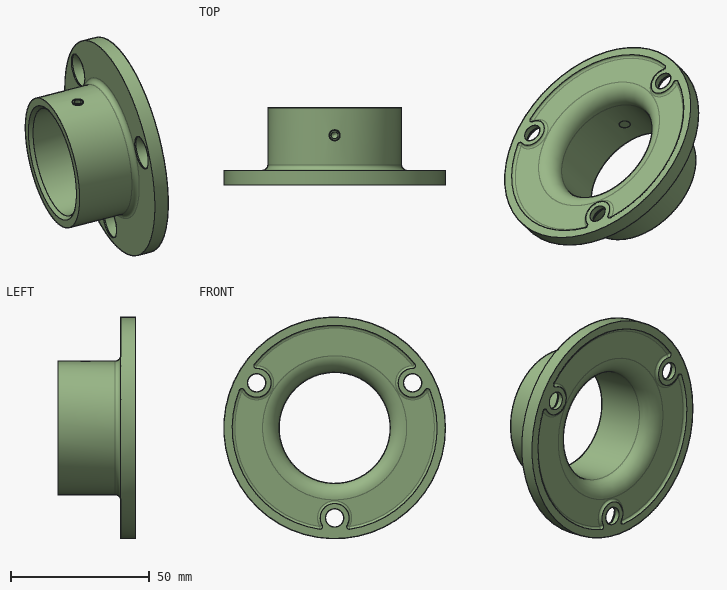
import cadquery as cq
import math


FLANGE_RADIUS = 40.0
FLANGE_THICKNESS = 5.4
TOTAL_LENGTH = 28.0
TUBE_RADIUS = 24.2
TUBE_FILLET = 2.0
BORE_RADIUS = 20.0
BORE_MOUTH_RADIUS = 6.0
BORE_CHAMFER = 1.3

POCKET_DEPTH = 1.0
POCKET_FLOOR_FILLET = POCKET_DEPTH - 0.01
POCKET_RIM_RADIUS = 37.0
POCKET_FLOOR_RADIUS = POCKET_RIM_RADIUS - POCKET_DEPTH

HOLE_COUNT = 3
HOLE_SPACING = 360.0 / HOLE_COUNT
FIRST_HOLE_ANGLE = -90.0
HOLE_CIRCLE_RADIUS = 32.5
HOLE_DIAMETER = 6.5
COUNTERSINK_DIAMETER = 12.0
COUNTERSINK_RIM_DEPTH = 0.5
COUNTERSINK_ANGLE = 90.0
BOSS_TOP_RADIUS = 5.2
BOSS_BASE_RADIUS = BOSS_TOP_RADIUS + POCKET_DEPTH

SCREW_DIAMETER = 4.0
SCREW_Y = 18.0
SCREW_TOP_Z = TUBE_RADIUS
SCREW_CHAMFER = 0.2
RECESS_DIAMETER = 2.5
RECESS_DEPTH = 1.6
RECESS_TIP_ANGLE = 120.0


def polar(radius, angle):
    """Point at an angle in degrees, measured from +X towards +Z."""
    return (radius * math.cos(math.radians(angle)), radius * math.sin(math.radians(angle)))


def hole_angles():
    return [FIRST_HOLE_ANGLE + i * HOLE_SPACING for i in range(HOLE_COUNT)]


def make_flange_and_tube():
    outline = (
        cq.Workplane("XY")
        .lineTo(FLANGE_RADIUS, 0)
        .lineTo(FLANGE_RADIUS, FLANGE_THICKNESS)
        .lineTo(TUBE_RADIUS + TUBE_FILLET, FLANGE_THICKNESS)
        .radiusArc((TUBE_RADIUS, FLANGE_THICKNESS + TUBE_FILLET), TUBE_FILLET)
        .lineTo(TUBE_RADIUS, TOTAL_LENGTH)
        .lineTo(0, TOTAL_LENGTH)
        .close()
    )
    return outline.revolve(360, (0, 0, 0), (0, 1, 0))


def make_bore():
    """Through bore with a rounded mouth at the pocket floor and a chamfer at the tube end."""
    mouth_edge = BORE_RADIUS + BORE_MOUTH_RADIUS
    outline = (
        cq.Workplane("XY")
        .lineTo(mouth_edge, 0)
        .lineTo(mouth_edge, POCKET_DEPTH)
        .radiusArc((BORE_RADIUS, POCKET_DEPTH + BORE_MOUTH_RADIUS), BORE_MOUTH_RADIUS)
        .lineTo(BORE_RADIUS, TOTAL_LENGTH - BORE_CHAMFER)
        .lineTo(BORE_RADIUS + BORE_CHAMFER, TOTAL_LENGTH)
        .lineTo(0, TOTAL_LENGTH)
        .close()
    )
    return outline.revolve(360, (0, 0, 0), (0, 1, 0))


def make_pocket():
    """Ring-shaped recess inside the rim that runs round the inner side of each boss."""
    corner_cosine = (
        POCKET_FLOOR_RADIUS**2 + HOLE_CIRCLE_RADIUS**2 - BOSS_BASE_RADIUS**2
    ) / (2 * POCKET_FLOOR_RADIUS * HOLE_CIRCLE_RADIUS)
    corner_angle = math.degrees(math.acos(corner_cosine))

    def on_boss_top(corner, hole):
        """Point of the boss top circle straight in from a floor corner."""
        ratio = BOSS_TOP_RADIUS / BOSS_BASE_RADIUS
        return tuple(h + (c - h) * ratio for c, h in zip(corner, hole))

    def on_corner_round(corner, start, end):
        """Middle of the short corner arc from start to end."""
        middle = [(s + e) / 2 - c for s, e, c in zip(start, end, corner)]
        scale = POCKET_DEPTH / math.hypot(*middle)
        return tuple(c + m * scale for c, m in zip(corner, middle))

    outline = cq.Workplane("XZ").moveTo(*polar(POCKET_RIM_RADIUS, FIRST_HOLE_ANGLE - corner_angle))
    for angle in hole_angles():
        hole = polar(HOLE_CIRCLE_RADIUS, angle)
        next_angle = angle + HOLE_SPACING
        corner_in = polar(POCKET_FLOOR_RADIUS, angle - corner_angle)
        corner_out = polar(POCKET_FLOOR_RADIUS, angle + corner_angle)
        rim_in = polar(POCKET_RIM_RADIUS, angle - corner_angle)
        rim_out = polar(POCKET_RIM_RADIUS, angle + corner_angle)
        rim_middle = polar(POCKET_RIM_RADIUS, (angle + next_angle) / 2)
        next_rim_in = polar(POCKET_RIM_RADIUS, next_angle - corner_angle)
        boss_in = on_boss_top(corner_in, hole)
        boss_middle = polar(HOLE_CIRCLE_RADIUS - BOSS_TOP_RADIUS, angle)
        boss_out = on_boss_top(corner_out, hole)
        outline = (
            outline.threePointArc(on_corner_round(corner_in, rim_in, boss_in), boss_in)
            .threePointArc(boss_middle, boss_out)
            .threePointArc(on_corner_round(corner_out, boss_out, rim_out), rim_out)
            .threePointArc(rim_middle, next_rim_in)
        )
    pocket = outline.close().extrude(-POCKET_DEPTH)
    return pocket.faces(">Y").edges().fillet(POCKET_FLOOR_FILLET)


def make_screw_holes():
    """Holes countersunk from the tube side, with a short straight rim above each cone."""
    cone_slope = math.tan(math.radians(COUNTERSINK_ANGLE / 2))
    cone_depth = (COUNTERSINK_DIAMETER - HOLE_DIAMETER) / 2 / cone_slope
    cone_top = FLANGE_THICKNESS - COUNTERSINK_RIM_DEPTH
    outline = (
        cq.Workplane("XY")
        .lineTo(HOLE_DIAMETER / 2, 0)
        .lineTo(HOLE_DIAMETER / 2, cone_top - cone_depth)
        .lineTo(COUNTERSINK_DIAMETER / 2, cone_top)
        .lineTo(COUNTERSINK_DIAMETER / 2, FLANGE_THICKNESS)
        .lineTo(0, FLANGE_THICKNESS)
        .close()
    )
    hole = outline.revolve(360, (0, 0, 0), (0, 1, 0))
    holes = cq.Workplane("XY")
    for angle in hole_angles():
        x, z = polar(HOLE_CIRCLE_RADIUS, angle)
        holes = holes.add(hole.translate((x, 0, z)))
    return holes.combine()


def make_set_screw_hole():
    return cq.Workplane("XY", origin=(0, SCREW_Y, 0)).circle(SCREW_DIAMETER / 2).extrude(TUBE_RADIUS)


def make_housing():
    return (
        make_flange_and_tube()
        .cut(make_bore())
        .cut(make_pocket())
        .cut(make_screw_holes())
        .cut(make_set_screw_hole())
    )


def make_set_screw():
    """Flush screw as a turned part: chamfered top edge and a round recess with a conical bottom."""
    radius = SCREW_DIAMETER / 2
    recess_radius = RECESS_DIAMETER / 2
    recess_floor = SCREW_TOP_Z - RECESS_DEPTH
    tip_depth = recess_radius / math.tan(math.radians(RECESS_TIP_ANGLE / 2))
    outline = (
        cq.Workplane("XZ")
        .moveTo(0, BORE_RADIUS)
        .lineTo(radius, BORE_RADIUS)
        .lineTo(radius, SCREW_TOP_Z - SCREW_CHAMFER)
        .lineTo(radius - SCREW_CHAMFER, SCREW_TOP_Z)
        .lineTo(recess_radius, SCREW_TOP_Z)
        .lineTo(recess_radius, recess_floor)
        .lineTo(0, recess_floor - tip_depth)
        .close()
    )
    return outline.revolve(360, (0, 0, 0), (0, 1, 0)).translate((0, SCREW_Y, 0))


housing = make_housing()
set_screw = make_set_screw()
result = cq.Compound.makeCompound([housing.val(), set_screw.val()])